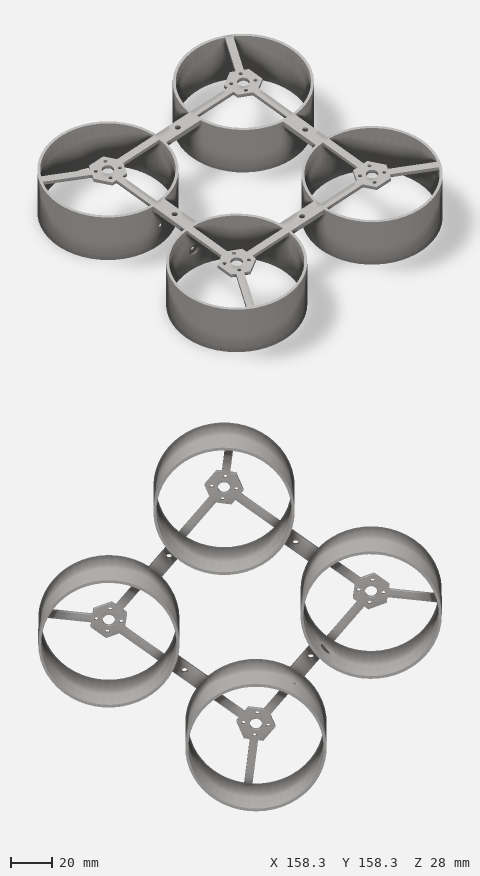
import cadquery as cq
import math

OVERALL_SIZE = 158.33
HEIGHT = 28.0
DECK_THICKNESS = 2.0
BRIDGE_THICKNESS = 3.0

RING_OUTER_DIAMETER = 68.2
RING_INNER_DIAMETER = 65.3
ROTOR_OFFSET = (OVERALL_SIZE - RING_OUTER_DIAMETER) / 2
RING_MID_RADIUS = (RING_OUTER_DIAMETER + RING_INNER_DIAMETER) / 4

HUB_SIDES = 6
HUB_ACROSS_FLATS = 16.5
HUB_ACROSS_CORNERS = HUB_ACROSS_FLATS / math.cos(math.pi / HUB_SIDES)
SHAFT_HOLE_DIAMETER = 6.0
SCREW_HOLE_DIAMETER = 2.0
SCREW_CIRCLE_RADIUS = 6.0
SCREW_COUNT = 4

SPOKE_ANGLE = 148.5
ARM_WIDTH = 4.0
ARM_OUTWARD_SHIFT = 0.25
ARM_OUTER_EDGE = ROTOR_OFFSET + ARM_OUTWARD_SHIFT + ARM_WIDTH / 2
BRIDGE_WIDTH = 7.7
BRIDGE_CENTER = ARM_OUTER_EDGE - BRIDGE_WIDTH / 2
BRIDGE_LENGTH = 2 * (ROTOR_OFFSET - RING_MID_RADIUS)
BRIDGE_HOLE_DIAMETER = 3.0

POCKET_DIAMETER = 6.1
POCKET_FLOOR_THICKNESS = 0.5
POCKET_HOLE_DIAMETER = 1.8
POCKET_Y = -42.5
POCKET_Z = (HEIGHT - BRIDGE_THICKNESS) / 2
RING_GAP = 2 * ROTOR_OFFSET - RING_OUTER_DIAMETER
POCKET_CUT_LENGTH = 4.0

FULL_TURN = 360
SIDE_COUNT = 4


def top_plane():
    return cq.Workplane("XY").workplane(offset=HEIGHT)


def top_bar(length, width, thickness, y):
    """Bar along X, centred on X = 0 and flush with the top."""
    return top_plane().center(0, y).rect(length, width).extrude(-thickness)


def make_ring():
    ring = cq.Workplane("XY").circle(RING_OUTER_DIAMETER / 2).circle(RING_INNER_DIAMETER / 2)
    return ring.extrude(HEIGHT)


def make_hub():
    return top_plane().polygon(HUB_SIDES, HUB_ACROSS_CORNERS).extrude(-DECK_THICKNESS)


def make_spoke():
    """Bar from the hub centre to the middle of the ring wall."""
    spoke = top_plane().center(RING_MID_RADIUS / 2, 0).rect(RING_MID_RADIUS, ARM_WIDTH)
    return spoke.extrude(-DECK_THICKNESS).rotate((0, 0, 0), (0, 0, 1), SPOKE_ANGLE)


def make_motor_holes():
    shaft = top_plane().circle(SHAFT_HOLE_DIAMETER / 2).extrude(-DECK_THICKNESS)
    screws = top_plane().polarArray(SCREW_CIRCLE_RADIUS, SPOKE_ANGLE, FULL_TURN, SCREW_COUNT)
    return shaft.union(screws.circle(SCREW_HOLE_DIAMETER / 2).extrude(-DECK_THICKNESS))


def make_quarter():
    """The -X +Y rotor unit together with the arm and bridge along the +Y side."""
    rotor = make_ring().union(make_hub()).union(make_spoke())
    rotor = rotor.translate((-ROTOR_OFFSET, ROTOR_OFFSET, 0))
    arm = top_bar(2 * ROTOR_OFFSET, ARM_WIDTH, DECK_THICKNESS, ROTOR_OFFSET + ARM_OUTWARD_SHIFT)
    bridge = top_bar(BRIDGE_LENGTH, BRIDGE_WIDTH, BRIDGE_THICKNESS, BRIDGE_CENTER)
    return rotor.union(arm).union(bridge)


def make_quarter_holes():
    motor_holes = make_motor_holes().translate((-ROTOR_OFFSET, ROTOR_OFFSET, 0))
    bridge_hole = top_plane().center(0, BRIDGE_CENTER).circle(BRIDGE_HOLE_DIAMETER / 2)
    return motor_holes.union(bridge_hole.extrude(-BRIDGE_THICKNESS))


def repeat_around_frame(body):
    """Union of the body turned to all four sides of the frame."""
    combined = body
    for side in range(1, SIDE_COUNT):
        combined = combined.union(body.rotate((0, 0, 0), (0, 0, 1), side * FULL_TURN / SIDE_COUNT))
    return combined


def make_wall_pockets():
    """Pockets sunk from inside both rings, joined by a small through hole."""
    floor_x = RING_GAP / 2 + POCKET_FLOOR_THICKNESS
    axis_plane = cq.Workplane("YZ", origin=(0, POCKET_Y, POCKET_Z))
    pocket = axis_plane.workplane(offset=floor_x).circle(POCKET_DIAMETER / 2).extrude(POCKET_CUT_LENGTH)
    hole_reach = floor_x + POCKET_CUT_LENGTH
    through_hole = axis_plane.circle(POCKET_HOLE_DIAMETER / 2).extrude(hole_reach, both=True)
    return pocket.union(pocket.mirror("YZ")).union(through_hole)


frame = repeat_around_frame(make_quarter())
frame = frame.cut(repeat_around_frame(make_quarter_holes()))
result = frame.cut(make_wall_pockets())